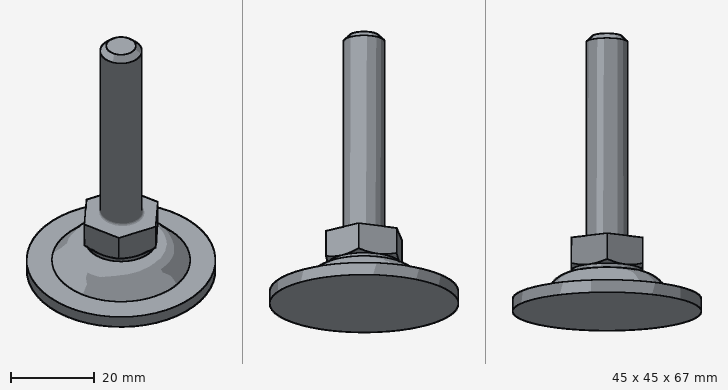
import cadquery as cq
import math

plate_top = 3.0
dome_top = 9.0
collar_top = 10.0
hex_top = 17.0
stud_top = 67.0

plate_diameter = 45.0
dome_base_radius = 16.5
dome_shoulder_radius = 12.9
dome_shoulder_z = 6.9

hex_sides = 6
hex_across_flats = 17.0
hex_chamfer_angle = 30.0
stud_diameter = 10.0
stud_tip_chamfer = 1.5
stud_root_fillet = 1.0

collar_diameter = hex_across_flats
hex_across_corners = hex_across_flats / math.cos(math.pi / hex_sides)


def make_plate():
    """Flat round plate that stands on the ground."""
    return cq.Workplane("XY").circle(plate_diameter / 2).extrude(plate_top)


def make_dome():
    """Cone that blends through a rounded shoulder into a flat top as wide as the collar."""
    flat_top_radius = collar_diameter / 2
    profile = (
        cq.Workplane("XZ")
        .moveTo(0, plate_top)
        .lineTo(dome_base_radius, plate_top)
        .lineTo(dome_shoulder_radius, dome_shoulder_z)
        .tangentArcPoint((flat_top_radius, dome_top), relative=False)
        .lineTo(0, dome_top)
        .close()
    )
    return profile.revolve(360, (0, 0, 0), (0, 1, 0))


def make_collar():
    """Round spacer between the dome and the hexagon."""
    collar = cq.Workplane("XY").workplane(offset=dome_top)
    return collar.circle(collar_diameter / 2).extrude(collar_top - dome_top)


def make_hexagon():
    """Hexagon with its lower corners turned off to a cone."""
    hex_height = hex_top - collar_top
    hexagon = (
        cq.Workplane("XY")
        .workplane(offset=collar_top)
        .polygon(hex_sides, hex_across_corners)
        .extrude(hex_height)
    )
    bottom_radius = hex_across_flats / 2
    top_radius = bottom_radius + hex_height / math.tan(math.radians(hex_chamfer_angle))
    corner_cone = cq.Workplane(
        cq.Solid.makeCone(bottom_radius, top_radius, hex_height, cq.Vector(0, 0, collar_top))
    )
    return hexagon.intersect(corner_cone)


def make_stud():
    """Stud and its hexagon in one piece, chamfered at the tip and filleted at the root."""
    shaft = (
        cq.Workplane("XY")
        .workplane(offset=hex_top)
        .circle(stud_diameter / 2)
        .extrude(stud_top - hex_top)
        .faces(">Z")
        .chamfer(stud_tip_chamfer)
    )
    stud = make_hexagon().union(shaft)
    root_point = (0, stud_diameter / 2, hex_top)
    root_edge = cq.selectors.NearestToPointSelector(root_point)
    return stud.edges("%CIRCLE").edges(root_edge).fillet(stud_root_fillet)


plate = make_plate()
dome = make_dome()
collar = make_collar()
stud = make_stud()

result = cq.Compound.makeCompound([plate.val(), dome.val(), collar.val(), stud.val()])